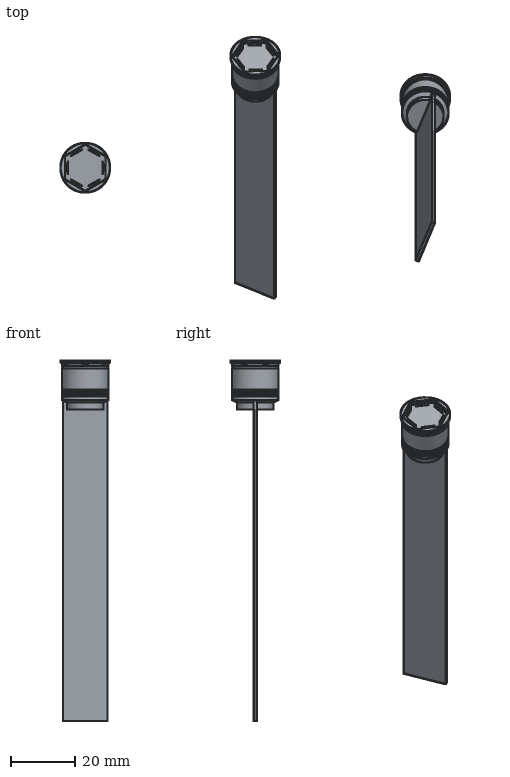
import cadquery as cq
import math

TOP_Z = 112.5

FLANGE_RADIUS = 7.8
BARREL_RADIUS = 7.3
NECK_RADIUS = 7.1
SPIGOT_RADIUS = 5.7

FLANGE_EDGE = 0.6
NECK_DEPTH = 1.0
UPPER_LIP_BOTTOM = 1.8
BARREL_TOP = 2.5
BARREL_BOTTOM = 9.0
RING_TOP = 9.6
RING_BOTTOM = 11.2
LOWER_LIP_BOTTOM = 12.3
SPIGOT_TOP = 13.0
SPIGOT_BOTTOM = 15.3

RECESS_APOTHEM = 6.3
RECESS_DEPTH = 1.4
RIB_APOTHEM = 5.4
RIB_OUTER_RADIUS = SPIGOT_RADIUS
RIB_HEIGHT = 1.1
HEX_TURN = 30.0

RING_INNER_RADIUS = 6.6
RING_GROOVE_COUNT = 2
RING_GROOVE_DEPTH = 0.1
RING_GROOVE_WIDTH = 0.3

STRIP_WIDTH = 14.0
STRIP_THICKNESS = 1.0


def level(depth):
    """Z of a plane lying the given depth below the top face."""
    return TOP_Z - depth


def revolve(profile):
    """Turn a closed (radius, Z) outline about the Z axis."""
    return cq.Workplane("XZ").polyline(profile).close().revolve(360, (0, 0), (0, 1))


def hexagon(apothem, bottom_z, height):
    """Hexagonal prism with flats facing +X and -X."""
    corner_diameter = 2 * apothem / math.cos(math.pi / 6)
    prism = cq.Workplane("XY").polygon(6, corner_diameter).extrude(height)
    return prism.rotate((0, 0, 0), (0, 0, 1), HEX_TURN).translate((0, 0, bottom_z))


def make_strip():
    height = level(LOWER_LIP_BOTTOM)
    return cq.Workplane("XY").box(STRIP_WIDTH, STRIP_THICKNESS, height, centered=(True, True, False))


def make_ring():
    """Ring flush with the barrel, its grooves spaced evenly over the height."""
    profile = [
        (RING_INNER_RADIUS, level(RING_TOP)),
        (BARREL_RADIUS, level(RING_TOP)),
    ]
    pitch = (RING_BOTTOM - RING_TOP) / (RING_GROOVE_COUNT + 1)
    for index in range(RING_GROOVE_COUNT):
        middle = level(RING_TOP + (index + 1) * pitch)
        profile += [
            (BARREL_RADIUS, middle + RING_GROOVE_WIDTH / 2),
            (BARREL_RADIUS - RING_GROOVE_DEPTH, middle),
            (BARREL_RADIUS, middle - RING_GROOVE_WIDTH / 2),
        ]
    profile += [
        (BARREL_RADIUS, level(RING_BOTTOM)),
        (RING_INNER_RADIUS, level(RING_BOTTOM)),
    ]
    return revolve(profile)


def make_cap_blank():
    """Flange, barrel, ring seat, lower lip and spigot as one turned shape."""
    return revolve([
        (0, level(0)),
        (FLANGE_RADIUS, level(0)),
        (FLANGE_RADIUS, level(FLANGE_EDGE)),
        (NECK_RADIUS, level(NECK_DEPTH)),
        (BARREL_RADIUS, level(UPPER_LIP_BOTTOM)),
        (NECK_RADIUS, level(UPPER_LIP_BOTTOM)),
        (NECK_RADIUS, level(BARREL_TOP)),
        (BARREL_RADIUS, level(BARREL_TOP)),
        (BARREL_RADIUS, level(BARREL_BOTTOM)),
        (NECK_RADIUS, level(RING_TOP)),
        (RING_INNER_RADIUS, level(RING_TOP)),
        (RING_INNER_RADIUS, level(RING_BOTTOM)),
        (NECK_RADIUS, level(RING_BOTTOM)),
        (BARREL_RADIUS, level(LOWER_LIP_BOTTOM)),
        (SPIGOT_RADIUS, level(SPIGOT_TOP)),
        (SPIGOT_RADIUS, level(SPIGOT_BOTTOM)),
        (0, level(SPIGOT_BOTTOM)),
    ])


def make_recess():
    """Recess volume: a hexagon less the ribs left between a circle and a smaller hexagon."""
    floor_z = level(RECESS_DEPTH)
    ribs = cq.Workplane("XY").workplane(offset=floor_z).circle(RIB_OUTER_RADIUS).extrude(RIB_HEIGHT)
    ribs = ribs.cut(hexagon(RIB_APOTHEM, floor_z, RIB_HEIGHT))
    return hexagon(RECESS_APOTHEM, floor_z, RECESS_DEPTH).cut(ribs)


def make_cap(strip):
    """Cap with its hexagonal recess and a slot in the spigot that fits the strip."""
    return make_cap_blank().cut(make_recess()).cut(strip)


strip = make_strip()
ring = make_ring()
cap = make_cap(strip)

result = cq.Compound.makeCompound([cap.val(), ring.val(), strip.val()])